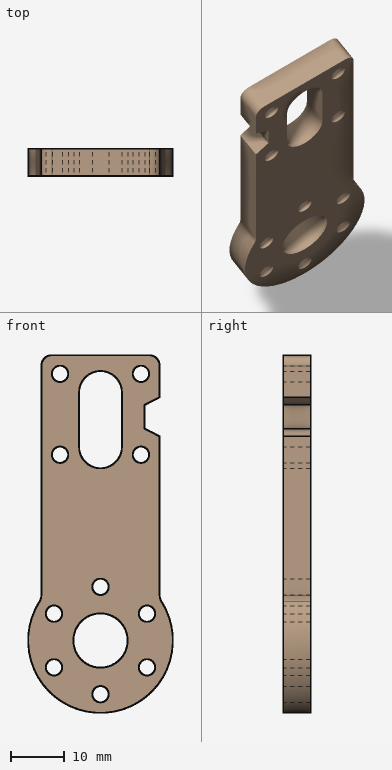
import cadquery as cq
import math

thickness = 5.1
hub_diameter = 26.9
hub_radius = hub_diameter / 2
total_height = 66.5
arm_width = 22.0
arm_top = total_height - hub_radius
corner_radius = 2.0
neck_radius = 2.0
neck_search = 0.65

bore_diameter = 10.05
screw_diameter = 3.0
hub_screw_circle_radius = 10.0
hub_screw_count = 6

slot_width = 7.9
slot_length = 18.0
slot_center_z = 41.0
arm_screw_spacing = 15.0
arm_screw_center_z = 42.0

notch_depth = 2.8
notch_mouth = 7.25
notch_floor = 4.4
notch_center_z = 41.55


def front_plane():
    """Sketch plane at the front face; its normal points toward -Y."""
    return cq.Workplane("XZ", origin=(0, -thickness / 2, 0))


def make_plate():
    hub = front_plane().circle(hub_radius).extrude(-thickness)
    arm = (
        front_plane()
        .center(0, arm_top / 2)
        .rect(arm_width, arm_top)
        .extrude(-thickness)
        .edges("|Y and >Z")
        .fillet(corner_radius)
    )
    neck_z = math.sqrt(hub_radius**2 - (arm_width / 2) ** 2)
    neck_edges = cq.selectors.BoxSelector(
        (-arm_width, -thickness, neck_z - neck_search),
        (arm_width, thickness, neck_z + neck_search),
    )
    return hub.union(arm).edges("|Y").edges(neck_edges).fillet(neck_radius)


def make_hub_holes():
    bore = front_plane().circle(bore_diameter / 2).extrude(-thickness)
    screws = (
        front_plane()
        .polarArray(hub_screw_circle_radius, 90, 360, hub_screw_count)
        .circle(screw_diameter / 2)
        .extrude(-thickness)
    )
    return bore.union(screws)


def make_arm_holes():
    slot = (
        front_plane()
        .center(0, slot_center_z)
        .slot2D(slot_length, slot_width, 90)
        .extrude(-thickness)
    )
    screws = (
        front_plane()
        .center(0, arm_screw_center_z)
        .rarray(arm_screw_spacing, arm_screw_spacing, 2, 2)
        .circle(screw_diameter / 2)
        .extrude(-thickness)
    )
    return slot.union(screws)


def make_notch():
    edge_x = arm_width / 2
    floor_x = edge_x - notch_depth
    return (
        front_plane()
        .center(0, notch_center_z)
        .polyline([
            (edge_x, notch_mouth / 2),
            (floor_x, notch_floor / 2),
            (floor_x, -notch_floor / 2),
            (edge_x, -notch_mouth / 2),
        ])
        .close()
        .extrude(-thickness)
    )


result = make_plate().cut(make_hub_holes()).cut(make_arm_holes()).cut(make_notch())